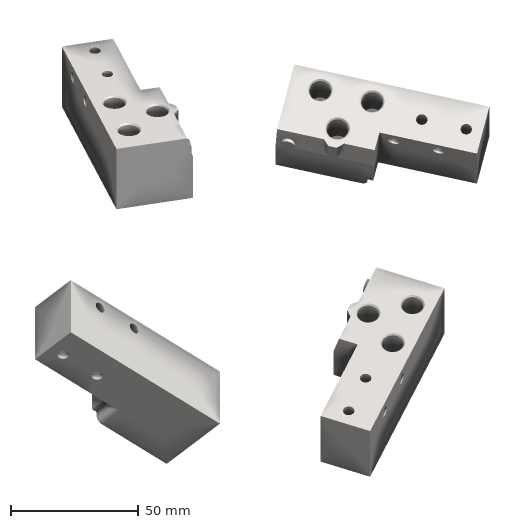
import cadquery as cq
import math

length = 78.9
depth = 31.3
height = 28.0

step_x = 39.45
narrow_depth = 21.0

relief_depth = 2.45
relief_angle = 15.0
relief_drop = relief_depth / math.tan(math.radians(relief_angle))

port_center_x = 55.9
rib_tip_width = 3.3
rib_base_width = rib_tip_width + 2 * relief_depth
pin_diameter = 5.6
pin_x = 73.9
pin_z = 21.1

undercut_height = 4.8
undercut_depth = 2.45
foot_radius = 2.6

port_diameter = 8.6
port_mouth_diameter = 9.8
port_chamfer = (port_mouth_diameter - port_diameter) / 2
port_depth = 15.8
front_port_y = 8.6
back_port_y = 23.2
port_half_pitch = 10.5

mount_diameter = 4.5
mount_pitch = 18.0
vertical_mount_x = 6.55
vertical_mount_y = 11.7
cross_mount_x = 15.55
cross_mount_z = 22.9


def make_body():
    """L-shaped block with its corner at the origin."""
    outline = [
        (0, 0),
        (length, 0),
        (length, depth),
        (step_x, depth),
        (step_x, narrow_depth),
        (0, narrow_depth),
    ]
    return cq.Workplane("XY").polyline(outline).close().extrude(height)


def make_relief():
    """Wedge removed from the top back edge."""
    section = [
        (depth, height - relief_drop),
        (depth, height),
        (depth - relief_depth, height),
    ]
    wedge = cq.Workplane("YZ").polyline(section).close().extrude(length - step_x)
    return wedge.translate((step_x, 0, 0))


def make_rib():
    """Upright trapezoidal rib left in the relief beside the back port."""
    base_y = depth - relief_depth
    outline = [
        (port_center_x - rib_base_width / 2, base_y),
        (port_center_x + rib_base_width / 2, base_y),
        (port_center_x + rib_tip_width / 2, depth),
        (port_center_x - rib_tip_width / 2, depth),
    ]
    rib = cq.Workplane("XY").polyline(outline).close().extrude(relief_drop)
    return rib.translate((0, 0, height - relief_drop))


def cylinder_along_y(diameter, x, z, start_y, end_y):
    """Cylinder parallel to Y between two Y positions."""
    axis = cq.Vector(0, 1, 0)
    start = cq.Vector(x, start_y, z)
    return cq.Workplane(cq.Solid.makeCylinder(diameter / 2, end_y - start_y, start, axis))


def make_undercut():
    """Notch at the foot of the step that leaves a rounded bottom edge."""
    wall_x = step_x + undercut_depth
    arc_middle = (
        wall_x + foot_radius * (1 - math.cos(math.pi / 4)),
        foot_radius * (1 - math.sin(math.pi / 4)),
    )
    notch = (
        cq.Workplane("XZ")
        .moveTo(step_x, 0)
        .lineTo(wall_x + foot_radius, 0)
        .threePointArc(arc_middle, (wall_x, foot_radius))
        .lineTo(wall_x, undercut_height)
        .lineTo(step_x, undercut_height)
        .close()
        .extrude(narrow_depth - depth)
    )
    return notch.translate((0, narrow_depth, 0))


def make_port(x, y):
    """Flat-bottomed port with a 45 degree mouth chamfer."""
    radius = port_diameter / 2
    bore = cq.Solid.makeCylinder(radius, port_depth, cq.Vector(x, y, height - port_depth))
    mouth = cq.Solid.makeCone(
        radius, port_mouth_diameter / 2, port_chamfer, cq.Vector(x, y, height - port_chamfer)
    )
    return cq.Workplane(bore).union(cq.Workplane(mouth))


result = make_body().cut(make_relief()).union(make_rib())
result = result.union(cylinder_along_y(pin_diameter, pin_x, pin_z, depth - relief_depth, depth))
result = result.cut(make_undercut())

port_centers = [
    (port_center_x, back_port_y),
    (port_center_x - port_half_pitch, front_port_y),
    (port_center_x + port_half_pitch, front_port_y),
]
for center_x, center_y in port_centers:
    result = result.cut(make_port(center_x, center_y))

for offset in (0, mount_pitch):
    vertical_hole = (
        cq.Workplane("XY")
        .center(vertical_mount_x + offset, vertical_mount_y)
        .circle(mount_diameter / 2)
        .extrude(height)
    )
    cross_hole = cylinder_along_y(mount_diameter, cross_mount_x + offset, cross_mount_z, 0, narrow_depth)
    result = result.cut(vertical_hole).cut(cross_hole)